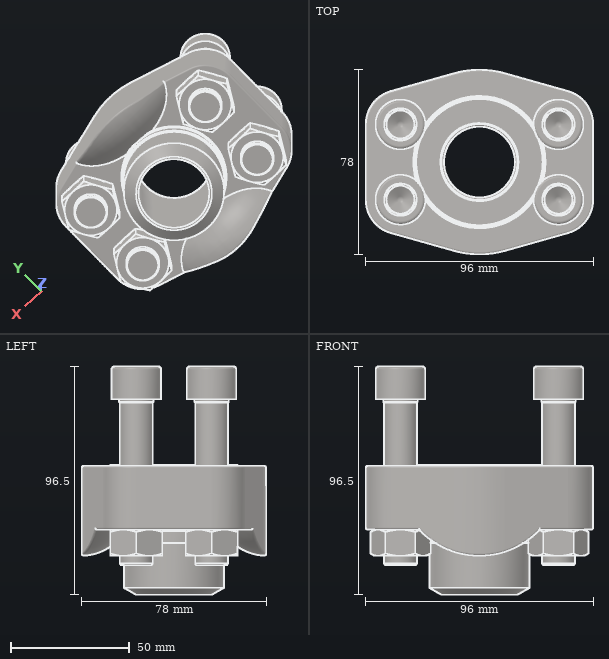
import cadquery as cq
import math

flange_top = 54.5
flange_bottom = 27.5
collar_lip = 0.5

flange_length = 96.0
crown_radius = 39.0
bolt_spacing_x = 66.7
bolt_spacing_y = 31.75
flange_edge_round = 1.0

bulge_depth = 11.0
bulge_radius = 38.6
bulge_nose_radius = 21.2

collar_pocket_diameter = 54.7
collar_pocket_chamfer = 0.6
bolt_clearance_diameter = 15.2

collar_diameter = 54.0
collar_chamfer = 0.4
collar_height = 13.5
shoulder_diameter = 44.5
shoulder_drop = 0.3
neck_diameter = 43.5
neck_bottom = 22.1
step_bevel_height = 0.3
tube_diameter = 42.4
tube_bore_diameter = 29.8
mouth_diameter = 32.0
mouth_depth = 5.1
mouth_chamfer = 0.5
bevel_tip_diameter = 32.0
bevel_angle = 30.0

shank_diameter = 14.0
shank_length = 70.0
shank_tip_z = 12.5
shank_tip_chamfer = 0.5
shank_tip_chamfer_height = 0.8
head_diameter = 21.0
head_height = 14.0
head_round = 1.4
underhead_diameter = 14.7
underhead_height = 1.35
socket_flats = 11.8
socket_mouth_diameter = 13.7
socket_depth = 8.4
socket_turn = 37.0
socket_tip_angle = 118.0

nut_flats = 22.0
nut_height = 11.0
nut_face_diameter = 22.0
nut_chamfer_angle = 30.0

bolt_x = bolt_spacing_x / 2
bolt_y = bolt_spacing_y / 2
bolt_points = [(sx * bolt_x, sy * bolt_y) for sx in (-1, 1) for sy in (-1, 1)]
corner_radius = flange_length / 2 - bolt_x
hub_top = flange_top + collar_lip
collar_seat = hub_top - collar_height
bulge_bottom = flange_bottom - bulge_depth
bulge_axis_z = bulge_bottom + bulge_radius


def hexagon_corner_diameter(flats):
    return flats / math.cos(math.pi / 6)


def hexagon(flats, height, z):
    """Hexagonal prism on the Z axis with two corners on X, sized across its flats."""
    corner_diameter = hexagon_corner_diameter(flats)
    return cq.Workplane("XY").workplane(offset=z).polygon(6, corner_diameter).extrude(height)


def turned(profile):
    """Solid of revolution about Z from (radius, height) points."""
    return cq.Workplane("XZ").polyline(profile).close().revolve(360, (0, 0), (0, 1))


def cone(radius, base_z, height):
    """Cone on the Z axis with its base at base_z and its tip at base_z + height."""
    return turned([(0, base_z), (radius, base_z), (0, base_z + height)])


def flange_outline(height, z):
    """Prism bounded by straight ends, four corner arcs and two crown arcs."""
    bolt_distance = math.hypot(bolt_x, bolt_y)
    normal = math.atan2(bolt_y, bolt_x) + math.acos((crown_radius - corner_radius) / bolt_distance)
    corner_mid = normal / 2
    crown_x = crown_radius * math.cos(normal)
    crown_y = crown_radius * math.sin(normal)
    corner_x = bolt_x + corner_radius * math.cos(normal)
    corner_y = bolt_y + corner_radius * math.sin(normal)
    middle_x = bolt_x + corner_radius * math.cos(corner_mid)
    middle_y = bolt_y + corner_radius * math.sin(corner_mid)
    end_x = flange_length / 2
    return (
        cq.Workplane("XY")
        .workplane(offset=z)
        .moveTo(end_x, -bolt_y)
        .lineTo(end_x, bolt_y)
        .threePointArc((middle_x, middle_y), (corner_x, corner_y))
        .lineTo(crown_x, crown_y)
        .threePointArc((0, crown_radius), (-crown_x, crown_y))
        .lineTo(-corner_x, corner_y)
        .threePointArc((-middle_x, middle_y), (-end_x, bolt_y))
        .lineTo(-end_x, -bolt_y)
        .threePointArc((-middle_x, -middle_y), (-corner_x, -corner_y))
        .lineTo(-crown_x, -crown_y)
        .threePointArc((0, -crown_radius), (crown_x, -crown_y))
        .lineTo(corner_x, -corner_y)
        .threePointArc((middle_x, -middle_y), (end_x, -bolt_y))
        .close()
        .extrude(height)
    )


def make_bulge():
    """Part of a barrel, on an axis along Y, that hangs below the flange and is widest at the +Y crown."""
    core_z = bulge_bottom + bulge_nose_radius
    barrel = (
        cq.Workplane("YZ")
        .moveTo(crown_radius - bulge_nose_radius, bulge_axis_z)
        .lineTo(crown_radius - bulge_nose_radius, core_z)
        .threePointArc((crown_radius, bulge_bottom), (crown_radius + bulge_nose_radius, core_z))
        .lineTo(crown_radius + bulge_nose_radius, bulge_axis_z)
        .close()
        .revolve(360, (0, bulge_axis_z), (1, bulge_axis_z))
    )
    return barrel.intersect(flange_outline(2 * bulge_depth, flange_bottom - 2 * bulge_depth))


def make_flange():
    body = flange_outline(flange_top - flange_bottom, flange_bottom)
    bulge = make_bulge()
    body = body.union(bulge).union(bulge.rotate((0, 0, 0), (0, 0, 1), 180)).clean()

    top_rim_level = flange_top - flange_edge_round
    bottom_rim_level = flange_bottom + flange_edge_round
    walls = [face for face in body.faces("not |Z").vals() if face.BoundingBox().zmax > top_rim_level]
    wall_edges = [edge for wall in walls for edge in wall.Edges()]
    top_rim = [edge for edge in wall_edges if edge.BoundingBox().zmin > top_rim_level]
    bottom_rim = [edge for edge in wall_edges if edge.BoundingBox().zmax < bottom_rim_level]
    body = body.newObject(top_rim + bottom_rim).fillet(flange_edge_round)

    pocket_radius = collar_pocket_diameter / 2
    hole_radius = shoulder_diameter / 2
    stepped_hole_profile = [
        (0, bulge_bottom),
        (hole_radius, bulge_bottom),
        (hole_radius, collar_seat),
        (pocket_radius, collar_seat),
        (pocket_radius, flange_top - collar_pocket_chamfer),
        (pocket_radius + collar_pocket_chamfer, flange_top),
        (0, flange_top),
    ]
    stepped_hole = turned(stepped_hole_profile)
    bolt_holes = (
        cq.Workplane("XY")
        .workplane(offset=flange_bottom)
        .pushPoints(bolt_points)
        .circle(bolt_clearance_diameter / 2)
        .extrude(flange_top - flange_bottom)
    )
    return body.cut(stepped_hole).cut(bolt_holes)


def make_hub():
    """Collar, shoulder, neck and tube around a bore that narrows from its mouth to the tube end."""
    collar_radius = collar_diameter / 2
    bevel_tip = bevel_tip_diameter / 2
    tube_radius = tube_diameter / 2
    bevel_height = (tube_radius - bevel_tip) * math.tan(math.radians(bevel_angle))
    neck_radius = neck_diameter / 2
    shoulder_radius = shoulder_diameter / 2
    shoulder_bottom = flange_bottom - shoulder_drop
    mouth_radius = mouth_diameter / 2
    profile = [
        (tube_bore_diameter / 2, 0),
        (bevel_tip, 0),
        (tube_radius, bevel_height),
        (tube_radius, neck_bottom - step_bevel_height),
        (neck_radius, neck_bottom),
        (neck_radius, shoulder_bottom - step_bevel_height),
        (shoulder_radius, shoulder_bottom),
        (shoulder_radius, collar_seat),
        (collar_radius, collar_seat),
        (collar_radius, hub_top - collar_chamfer),
        (collar_radius - collar_chamfer, hub_top),
        (mouth_radius + mouth_chamfer, hub_top),
        (mouth_radius, hub_top - mouth_chamfer),
        (mouth_radius, hub_top - mouth_depth),
    ]
    return turned(profile)


def make_bolt():
    """Socket head cap screw on the Z axis."""
    shank_radius = shank_diameter / 2
    head_radius = head_diameter / 2
    underhead_radius = underhead_diameter / 2
    underhead_step = underhead_radius - shank_radius
    head_bottom = shank_tip_z + shank_length
    head_top = head_bottom + head_height
    bolt = (
        cq.Workplane("XZ")
        .moveTo(0, shank_tip_z)
        .lineTo(shank_radius - shank_tip_chamfer, shank_tip_z)
        .lineTo(shank_radius, shank_tip_z + shank_tip_chamfer_height)
        .lineTo(shank_radius, head_bottom - underhead_height)
        .lineTo(underhead_radius, head_bottom - underhead_height + underhead_step)
        .lineTo(underhead_radius, head_bottom)
        .lineTo(head_radius, head_bottom)
        .lineTo(head_radius, head_top - head_round)
        .radiusArc((head_radius - head_round, head_top), -head_round)
        .lineTo(0, head_top)
        .close()
        .revolve(360, (0, 0), (0, 1))
    )
    floor_z = head_top - socket_depth
    mouth_radius = socket_mouth_diameter / 2
    floor_radius = socket_flats / 2
    tip_slope = math.tan(math.radians(90 - socket_tip_angle / 2))
    socket = hexagon(socket_flats, socket_depth, floor_z).rotate((0, 0, 0), (0, 0, 1), socket_turn)
    floor_cone = cone(floor_radius, floor_z, -floor_radius * tip_slope)
    mouth_cone = cone(mouth_radius, head_top, -mouth_radius * tip_slope)
    return bolt.cut(socket).cut(floor_cone).cut(mouth_cone)


def make_nut():
    """Hexagon nut on the Z axis with both faces chamfered on the corners."""
    nut_bottom = flange_bottom - nut_height
    nut_corner_radius = hexagon_corner_diameter(nut_flats) / 2
    face_radius = nut_face_diameter / 2
    drop = (nut_corner_radius - face_radius) * math.tan(math.radians(nut_chamfer_angle))
    envelope_profile = [
        (0, nut_bottom),
        (face_radius, nut_bottom),
        (nut_corner_radius, nut_bottom + drop),
        (nut_corner_radius, flange_bottom - drop),
        (face_radius, flange_bottom),
        (0, flange_bottom),
    ]
    envelope = turned(envelope_profile)
    thread_hole = (
        cq.Workplane("XY")
        .workplane(offset=nut_bottom)
        .circle(shank_diameter / 2)
        .extrude(nut_height)
    )
    return hexagon(nut_flats, nut_height, nut_bottom).intersect(envelope).cut(thread_hole)


flange = make_flange()
hub = make_hub()
bolt = make_bolt()
nut = make_nut()
bolts = [bolt.translate((x, y, 0)) for x, y in bolt_points]
nuts = [nut.translate((x, y, 0)) for x, y in bolt_points]

result = cq.Compound.makeCompound(
    [flange.val(), hub.val(), *[b.val() for b in bolts], *[n.val() for n in nuts]]
)